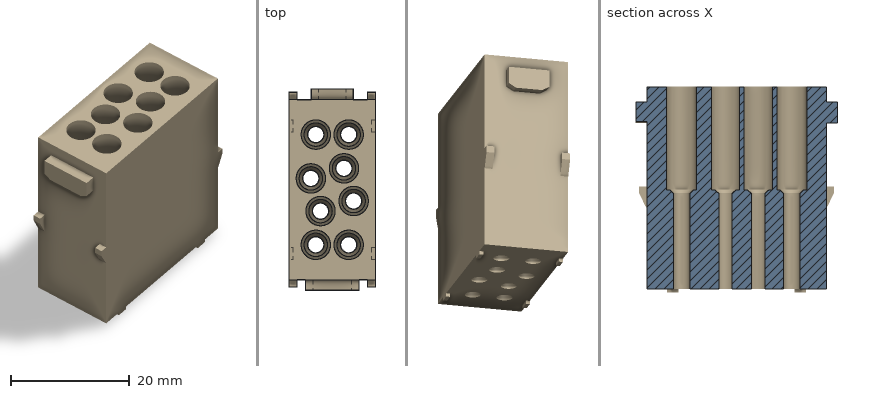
import cadquery as cq
import math

width = 14.6
total_height = 34.7
body_length = 30.4
foot_height = 0.6
body_height = total_height - foot_height
half_width = width / 2
half_length = body_length / 2

foot_width = 0.7
foot_length = 2.0
foot_spacing = 21.5

key_overhang = 1.8
key_top = total_height - 2.5
key_height = 3.65
key_corner_x = 1.25
key_corner_z = 0.73
front_key_width = 9.05
rear_key_width = 7.1

latch_width = 1.4
latch_overhang = 1.25
latch_top = 17.87
left_latch_height = 3.75
right_latch_height = 3.6
latch_lip = 1.15
toe_overhang = 0.17
toe_height = 0.28

socket_diameter = 4.95
socket_depth = 17.35
cone_diameter = 3.95
bore_diameter = 2.7
cone_angle = 45.0
cone_depth = (cone_diameter - bore_diameter) / 2 / math.tan(math.radians(cone_angle))

cavity_centers = [(-2.78, 9.3), (2.78, 9.3), (1.98, 3.6), (-3.6, 1.9)]


def make_body():
    return (
        cq.Workplane("XY")
        .workplane(offset=foot_height)
        .rect(width, body_length)
        .extrude(body_height)
    )


def make_feet():
    return (
        cq.Workplane("XY")
        .rarray(width - foot_width, foot_spacing, 2, 2)
        .rect(foot_width, foot_length)
        .extrude(foot_height)
    )


def make_key(key_width):
    """Key on the -Y end face, with its two lower corners cut off."""
    half_key = key_width / 2
    key_bottom = key_top - key_height
    outline = [
        (-half_key, key_top),
        (half_key, key_top),
        (half_key, key_bottom + key_corner_z),
        (half_key - key_corner_x, key_bottom),
        (-half_key + key_corner_x, key_bottom),
        (-half_key, key_bottom + key_corner_z),
    ]
    return (
        cq.Workplane("XZ", origin=(0, -half_length, 0))
        .polyline(outline)
        .close()
        .extrude(key_overhang)
    )


def make_latch(side, height):
    """Latch on the -Y end face, flush with the long side at -X (side=-1) or +X (side=1).

    Below its lip the nose tapers back towards the end face; a flatter toe closes the taper.
    """
    nose = -half_length - latch_overhang
    latch_bottom = latch_top - height
    profile = [
        (-half_length, latch_top),
        (nose, latch_top),
        (nose, latch_top - latch_lip),
        (-half_length - toe_overhang, latch_bottom + toe_height),
        (-half_length, latch_bottom),
    ]
    center_x = side * (half_width - latch_width / 2)
    return (
        cq.Workplane("YZ", origin=(center_x, 0, 0))
        .polyline(profile)
        .close()
        .extrude(latch_width / 2, both=True)
    )


def make_cavity(x, y):
    cone_top = total_height - socket_depth
    profile = [
        (0, 0),
        (bore_diameter / 2, 0),
        (bore_diameter / 2, cone_top - cone_depth),
        (cone_diameter / 2, cone_top),
        (socket_diameter / 2, cone_top),
        (socket_diameter / 2, total_height),
        (0, total_height),
    ]
    cavity = cq.Workplane("XZ").polyline(profile).close().revolve(360, (0, 0), (0, 1))
    return cavity.translate((x, y, 0))


rear_key = make_key(rear_key_width).mirror("XZ")

result = make_body().union(make_feet())
result = result.union(make_key(front_key_width)).union(rear_key)

for side, height in ((-1, left_latch_height), (1, right_latch_height)):
    latch = make_latch(side, height)
    result = result.union(latch).union(latch.mirror("XZ"))

for x, y in cavity_centers:
    result = result.cut(make_cavity(x, y)).cut(make_cavity(-x, -y))